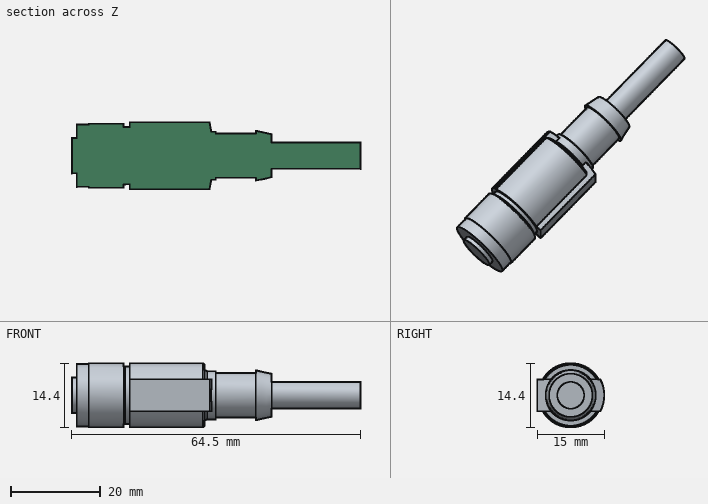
import cadquery as cq

total_length = 64.5
tip_radius = 4.0
ring_start = 1.0
ring_radius = 7.0
nut_start = 3.75
nut_end = 11.55
nut_radius = 14.4 / 2
neck_step = 11.95
neck_front_radius = 6.4
neck_radius = 6.45
body_start = 12.9
body_end = 29.7
body_radius = nut_radius
body_chamfer = 0.4
collar_end = 32.2
collar_radius = 5.4
collar_taper_length = 0.5
collar_taper_height = 0.25
sleeve_radius = 10.0 / 2
barb_start = 41.1
barb_end = 44.65
barb_radius = 5.6
barb_end_radius = 4.85
cable_radius = 6.0 / 2

rib_reach = 15.0 / 2
rib_width = 7.15
rib_outer_end = 30.75
rib_inner_end = 31.3
rib_taper_depth = 2.8


def cylinder(start, end, radius):
    """Solid cylinder on the X axis from start to end."""
    return cq.Workplane("YZ", origin=(start, 0, 0)).circle(radius).extrude(end - start)


def cone(start, end, start_radius, end_radius):
    """Solid truncated cone on the X axis from start to end."""
    profile = [(start, 0), (start, start_radius), (end, end_radius), (end, 0)]
    return cq.Workplane("XY").polyline(profile).close().revolve(360, (0, 0), (1, 0))


def rib(side):
    """Rib along the body on one Y side, its rear end sloping in toward the outer face."""
    taper_start = rib_reach - rib_taper_depth
    outline = [
        (body_start, 0),
        (rib_inner_end, 0),
        (rib_inner_end, side * taper_start),
        (rib_outer_end, side * rib_reach),
        (body_start, side * rib_reach),
    ]
    return cq.Workplane("XY").polyline(outline).close().extrude(rib_width / 2, both=True)


result = cylinder(0, nut_start, tip_radius)
result = result.union(cylinder(ring_start, nut_start, ring_radius))
result = result.union(cylinder(nut_start, nut_end, nut_radius))
result = result.union(cylinder(nut_end, neck_step, neck_front_radius))
result = result.union(cylinder(neck_step, body_start, neck_radius))

body = cylinder(body_start, body_end, body_radius).faces(">X").chamfer(body_chamfer)
result = result.union(body)

collar_taper_end = body_end + collar_taper_length
collar_root_radius = collar_radius + collar_taper_height
result = result.union(cone(body_end, collar_taper_end, collar_root_radius, collar_radius))
result = result.union(cylinder(collar_taper_end, collar_end, collar_radius))
result = result.union(cylinder(collar_end, barb_start, sleeve_radius))
result = result.union(cone(barb_start, barb_end, barb_radius, barb_end_radius))
result = result.union(cylinder(barb_end, total_length, cable_radius))

flat_rib = rib(-1)
rounded_rib = rib(1).intersect(cylinder(body_start, rib_inner_end, rib_reach))
result = result.union(flat_rib).union(rounded_rib)